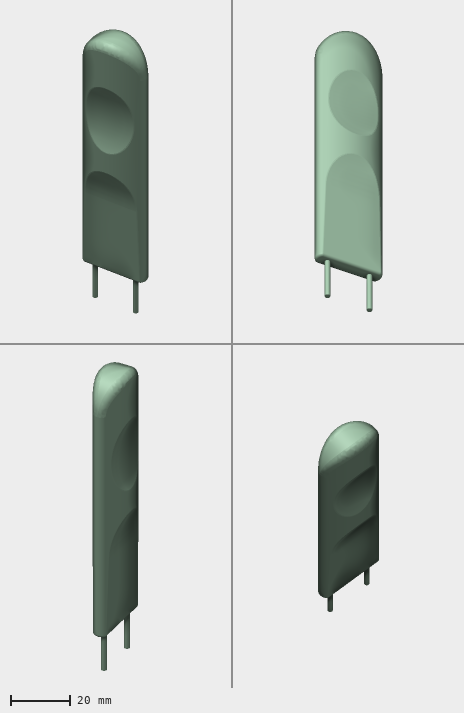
import cadquery as cq
import math

total_height = 115.0
pin_length = 15.0
body_width = 25.0
body_depth = 12.1
side_radius = 3.0
side_land = 0.06
base_fillet = 1.0

grip_radius = 40.0
grip_fillet = 0.9
dimple_height = 83.0
dimple_half_depth = 3.6
flat_top = 46.1
flat_top_half_depth = 3.1
flat_base_half_depth = 2.5

pin_diameter = 2.0
pin_spacing = 16.0
pin_embed = 2.3

half_width = body_width / 2
half_depth = body_depth / 2
side_centre = half_width - side_radius
land_edge = side_land / 2
inner_depth = half_depth - side_radius
face_offset = (side_centre**2 + land_edge**2 - inner_depth**2) / (2 * (inner_depth - land_edge))
face_radius = face_offset + half_depth


def make_body():
    """Arched slab with bulged broad faces, rounded along its sides and over the top."""
    arch_base = total_height - half_width
    slab = (
        cq.Workplane("XZ")
        .moveTo(-half_width, pin_length)
        .lineTo(half_width, pin_length)
        .lineTo(half_width, arch_base)
        .threePointArc((0, total_height), (-half_width, arch_base))
        .close()
        .extrude(body_depth, both=True)
    )
    for side in (-1, 1):
        bulge = (
            cq.Workplane("XY")
            .center(0, side * face_offset)
            .circle(face_radius)
            .extrude(total_height)
        )
        slab = slab.intersect(bulge)
    face_outlines = slab.edges("not(<Z or |Y)")
    return face_outlines.fillet(side_radius)


def dimple_cutter():
    """Cylinder across the width, biting into the -Y face."""
    return (
        cq.Workplane("YZ")
        .center(-dimple_half_depth - grip_radius, dimple_height)
        .circle(grip_radius)
        .extrude(body_width, both=True)
    )


def flat_cutter():
    """Slightly tapered flat running into a tangent scoop at its upper end."""
    taper = math.atan2(flat_top_half_depth - flat_base_half_depth, flat_top - pin_length)
    centre_y = -flat_top_half_depth - grip_radius * math.cos(taper)
    centre_z = flat_top - grip_radius * math.sin(taper)
    middle_angle = math.pi / 4 + taper / 2
    scoop_middle = (
        centre_y + grip_radius * math.cos(middle_angle),
        centre_z + grip_radius * math.sin(middle_angle),
    )
    below_base = 5.8
    base_y = -flat_base_half_depth + below_base * math.tan(taper)
    return (
        cq.Workplane("YZ")
        .moveTo(centre_y, pin_length - below_base)
        .lineTo(base_y, pin_length - below_base)
        .lineTo(-flat_top_half_depth, flat_top)
        .threePointArc(scoop_middle, (centre_y, centre_z + grip_radius))
        .close()
        .extrude(body_width, both=True)
    )


body = make_body()
for cutter in (dimple_cutter(), flat_cutter()):
    body = body.cut(cutter).cut(cutter.mirror("XZ"))


rim_region = cq.selectors.BoxSelector(
    (-body_width, -body_depth, pin_length + base_fillet),
    (body_width, body_depth, total_height - half_width - grip_fillet),
)
rims = body.edges("not(|X or |Z)").edges(rim_region)
body = rims.fillet(grip_fillet)
body = body.faces("<Z").edges().fillet(base_fillet)

pins = (
    cq.Workplane("XY")
    .pushPoints([(-pin_spacing / 2, 0), (pin_spacing / 2, 0)])
    .circle(pin_diameter / 2)
    .extrude(pin_length + pin_embed)
)
result = body.union(pins)